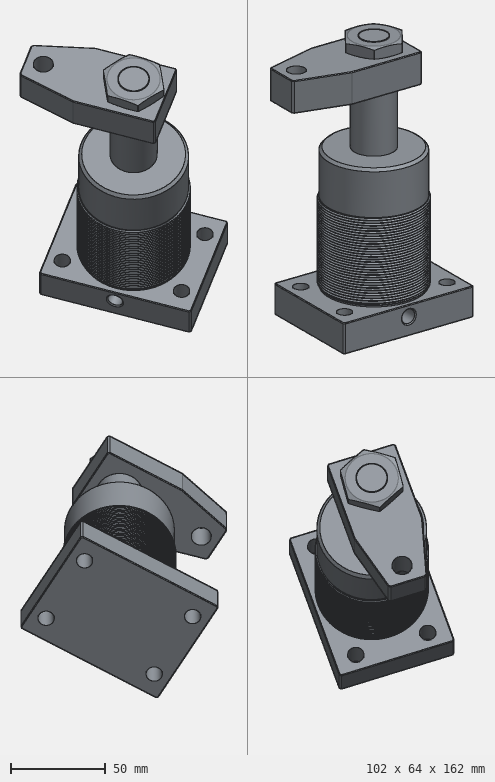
import cadquery as cq
import math


PLATE_LENGTH = 84.0
PLATE_WIDTH = 64.0
PLATE_HEIGHT = 18.0
CORNER_CHAMFER = 1.0
EDGE_CHAMFER = 0.5
BOLT_SPACING_X = 66.1
BOLT_SPACING_Y = 40.0
BOLT_HOLE_DIAMETER = 8.6

PORT_HEIGHT = 11.0
PORT_DIAMETER = 8.3
PORT_CHAMFER = 0.6
PORT_DEPTH = 13

CYLINDER_DIAMETER = 58.0
CYLINDER_TOP = 97.7
CYLINDER_CHAMFER = 1.6
THREAD_DIAMETER = 60
THREAD_BOTTOM = 18.8
THREAD_TOP = 69.7
THREAD_TURNS = 34
THREAD_DEPTH = 0.89
THREAD_CREST = 0.2
THREAD_ROOT_RADIUS = THREAD_DIAMETER / 2 - THREAD_DEPTH
THREAD_PITCH = (THREAD_TOP - THREAD_BOTTOM) / THREAD_TURNS
THREAD_CHAMFER = (THREAD_DIAMETER - CYLINDER_DIAMETER) / 2

COIL_BORE_RADIUS = 24.3
COIL_SPARE_TURNS = 4
SLEEVE_BORE = 51.8
ENVELOPE_CLEARANCE = 0.8

TOTAL_HEIGHT = 162
ROD_DIAMETER = 25.0
STUD_DIAMETER = 16.7
STUD_CHAMFER = 0.3

ARM_BOTTOM = 135.9
ARM_HEIGHT = 19.0
ARM_TOP = ARM_BOTTOM + ARM_HEIGHT
ARM_REACH = 60
ARM_BACK = 18.0
ARM_WIDTH = 37.9
ARM_TIP_WIDTH = 21
ARM_TAPER_START = 27.4
ARM_HOLE_DISTANCE = 50.0
ARM_HOLE_DIAMETER = 10.5

NUT_ACROSS_FLATS = 30.0
NUT_CORNER_DIAMETER = 34.3
NUT_FACE_DIAMETER = 28.0
NUT_CHAMFER_HEIGHT = 1.0
NUT_TURN = -4.5
NUT_HEIGHT = TOTAL_HEIGHT - ARM_TOP


def disc(diameter, bottom, top):
    """A cylinder on the Z axis between two heights."""
    return cq.Workplane("XY").workplane(offset=bottom).circle(diameter / 2).extrude(top - bottom)


def break_edges(block):
    """Chamfer the upright edges at the corners, then the outlines of the top and bottom."""
    block = block.faces("<X or >X").edges("|Z").chamfer(CORNER_CHAMFER)
    return block.faces("<Z or >Z").chamfer(EDGE_CHAMFER)


def make_plate():
    plate = cq.Workplane("XY").box(PLATE_LENGTH, PLATE_WIDTH, PLATE_HEIGHT, centered=(True, True, False))
    plate = break_edges(plate)
    plate = (
        plate.faces(">Z").workplane(origin=(0, 0, PLATE_HEIGHT))
        .rect(BOLT_SPACING_X, BOLT_SPACING_Y, forConstruction=True).vertices()
        .hole(BOLT_HOLE_DIAMETER)
    )
    port_mouth = cq.Vector(0, -PLATE_WIDTH / 2, PORT_HEIGHT)
    inward = cq.Vector(0, 1, 0)
    radius = PORT_DIAMETER / 2
    bore = cq.Solid.makeCylinder(radius, PORT_DEPTH, port_mouth, inward)
    countersink = cq.Solid.makeCone(radius + PORT_CHAMFER, radius, PORT_CHAMFER, port_mouth, inward)
    return plate.cut(cq.Workplane(bore)).cut(cq.Workplane(countersink))


def helix(radius, start):
    """One turn of a right-hand helix about the Z axis, as high as the thread pitch."""
    return cq.Wire.makeHelix(THREAD_PITCH, THREAD_PITCH, radius, center=cq.Vector(0, 0, start))


def make_thread_coil():
    """A long threaded tube, built as stacked helical turns that are sewn together.

    It is longer than the thread, so that its stepped helical ends lie outside the thread.
    """
    flank_height = (THREAD_PITCH - THREAD_CREST) / 2
    ridge = [
        (THREAD_ROOT_RADIUS, 0),
        (THREAD_DIAMETER / 2, flank_height),
        (THREAD_DIAMETER / 2, flank_height + THREAD_CREST),
        (THREAD_ROOT_RADIUS, THREAD_PITCH),
    ]
    section = [(COIL_BORE_RADIUS, 0), *ridge, (COIL_BORE_RADIUS, THREAD_PITCH)]
    turns = THREAD_TURNS + COIL_SPARE_TURNS
    coil_bottom = THREAD_BOTTOM - COIL_SPARE_TURNS / 2 * THREAD_PITCH
    coil_top = coil_bottom + turns * THREAD_PITCH

    faces = []
    for turn in range(turns):
        start = coil_bottom + turn * THREAD_PITCH
        edges = [helix(radius, start + rise) for radius, rise in ridge]
        faces += [cq.Face.makeRuledSurface(lower, upper) for lower, upper in zip(edges, edges[1:])]
        bore_edges = helix(COIL_BORE_RADIUS, start), helix(COIL_BORE_RADIUS, start + THREAD_PITCH)
        faces.append(cq.Face.makeRuledSurface(*bore_edges))
    for end in (coil_bottom, coil_top):
        faces.append(cq.Face.makeRuledSurface(helix(COIL_BORE_RADIUS, end), helix(THREAD_ROOT_RADIUS, end)))
        corners = [cq.Vector(radius, 0, end + rise) for radius, rise in section]
        faces.append(cq.Face.makeFromWires(cq.Wire.makePolygon(corners, close=True)))
    return cq.Workplane(cq.Solid.makeSolid(cq.Shell.makeShell(faces)))


def make_threaded_sleeve():
    """The coil cut to the thread length, with chamfered ends that run down to the cylinder surface."""
    envelope = (
        disc(THREAD_DIAMETER + 2 * ENVELOPE_CLEARANCE, THREAD_BOTTOM, THREAD_TOP)
        .edges().chamfer(THREAD_CHAMFER + ENVELOPE_CLEARANCE)
        .cut(disc(SLEEVE_BORE, THREAD_BOTTOM, THREAD_TOP))
    )
    return make_thread_coil().intersect(envelope)


def make_cylinder():
    """Base plate, threaded cylinder, piston rod and stud as one body."""
    barrel = disc(CYLINDER_DIAMETER, PLATE_HEIGHT, CYLINDER_TOP).faces(">Z").chamfer(CYLINDER_CHAMFER)
    rod = disc(ROD_DIAMETER, CYLINDER_TOP, ARM_BOTTOM)
    stud = disc(STUD_DIAMETER, ARM_BOTTOM, TOTAL_HEIGHT).faces(">Z").chamfer(STUD_CHAMFER)
    return make_threaded_sleeve().union(barrel).union(make_plate()).union(rod).union(stud)


def make_arm():
    half_width = ARM_WIDTH / 2
    half_tip = ARM_TIP_WIDTH / 2
    arm = (
        cq.Workplane("XY").workplane(offset=ARM_BOTTOM)
        .polyline([
            (ARM_BACK, -half_width),
            (ARM_BACK, half_width),
            (-ARM_TAPER_START, half_width),
            (-ARM_REACH, half_tip),
            (-ARM_REACH, -half_tip),
            (-ARM_TAPER_START, -half_width),
        ])
        .close().extrude(ARM_HEIGHT)
    )
    arm = break_edges(arm)
    clamp_hole = disc(ARM_HOLE_DIAMETER, ARM_BOTTOM, ARM_TOP).translate((-ARM_HOLE_DISTANCE, 0, 0))
    return arm.cut(clamp_hole).cut(disc(STUD_DIAMETER, ARM_BOTTOM, ARM_TOP))


def make_nut():
    hexagon = (
        cq.Workplane("XY").workplane(offset=ARM_TOP)
        .polygon(6, NUT_ACROSS_FLATS / math.cos(math.pi / 6)).extrude(NUT_HEIGHT)
        .rotate((0, 0, 0), (0, 0, 1), NUT_TURN)
    )
    chamfer_width = (NUT_CORNER_DIAMETER - NUT_FACE_DIAMETER) / 2
    turned = disc(NUT_CORNER_DIAMETER, ARM_TOP, TOTAL_HEIGHT)
    turned = turned.faces(">Z").chamfer(NUT_CHAMFER_HEIGHT, chamfer_width)
    turned = turned.faces("<Z").chamfer(NUT_CHAMFER_HEIGHT, chamfer_width)
    return hexagon.intersect(turned).cut(disc(STUD_DIAMETER, ARM_TOP, TOTAL_HEIGHT))


cylinder = make_cylinder()
arm = make_arm()
nut = make_nut()
result = cq.Compound.makeCompound([cylinder.val(), arm.val(), nut.val()])